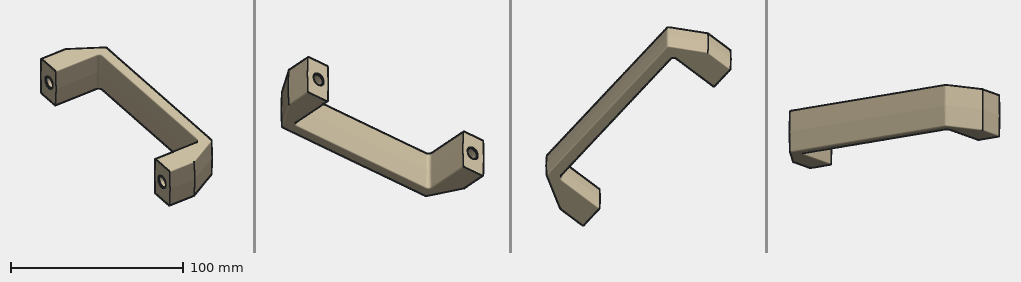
import cadquery as cq
import math

length = 134.0
height = 38.0
width = 25.0

leg_width = 16.0
beam_thickness = 7.6
shoulder_height = 17.3
slope_angle = 60.0
outer_corner_radius = 1.9
inner_corner_radius = 2.0

draft_angle = 1.5
edge_radius = 0.8

hole_spacing = 117.0
hole_diameter = 6.8
hole_mouth_diameter = 7.9
hole_depth = 15.0
drill_point_angle = 118.0

y_foot = -height / 2
y_top = height / 2
half_length = length / 2
half_width = width / 2
slope_run = (height - shoulder_height) / math.tan(math.radians(slope_angle))
foot_allowance = 2.7


def arch_outline():
    """Closed outline of the arch, with rounded corners in the beam region."""
    x_inner = half_length - leg_width
    x_top = half_length - slope_run
    y_shoulder = y_foot + shoulder_height
    y_under_beam = y_top - beam_thickness
    y_start = y_foot - foot_allowance
    outer = (
        cq.Sketch()
        .polygon([
            (-half_length, y_start),
            (-half_length, y_shoulder),
            (-x_top, y_top),
            (x_top, y_top),
            (half_length, y_shoulder),
            (half_length, y_start),
            (-half_length, y_start),
        ])
        .vertices(">Y")
        .fillet(outer_corner_radius)
        .reset()
    )
    opening = (
        cq.Sketch()
        .polygon([
            (-x_inner, y_start),
            (-x_inner, y_under_beam),
            (x_inner, y_under_beam),
            (x_inner, y_start),
            (-x_inner, y_start),
        ])
        .vertices(">Y")
        .fillet(inner_corner_radius)
        .reset()
    )
    return outer.face(opening, mode="s")


def half_arch():
    """Upper half: sides taper from the mid-plane to a rounded top edge."""
    body = (
        cq.Workplane("XY")
        .placeSketch(arch_outline())
        .extrude(half_width, taper=draft_angle)
    )
    body = body.faces(">Z").edges().fillet(edge_radius)
    foot_trim = cq.Workplane("XY").box(
        2 * length, height, 2 * width
    ).translate((0, y_foot - height / 2, 0))
    return body.cut(foot_trim)


def mounting_hole(x):
    """Cutter for one hole: a revolved half-profile about the hole axis."""
    radius = hole_diameter / 2
    mouth_radius = hole_mouth_diameter / 2
    mouth_depth = mouth_radius - radius
    point_depth = radius / math.tan(math.radians(drill_point_angle / 2))
    return (
        cq.Workplane("XY")
        .moveTo(0, 0)
        .lineTo(mouth_radius, 0)
        .lineTo(radius, mouth_depth)
        .lineTo(radius, hole_depth)
        .lineTo(0, hole_depth + point_depth)
        .close()
        .revolve(360, (0, 0, 0), (0, 1, 0))
        .translate((x, y_foot, 0))
    )


upper_half = half_arch()
result = upper_half.union(upper_half.mirror("XY"))
for side in (-1, 1):
    result = result.cut(mounting_hole(side * hole_spacing / 2))